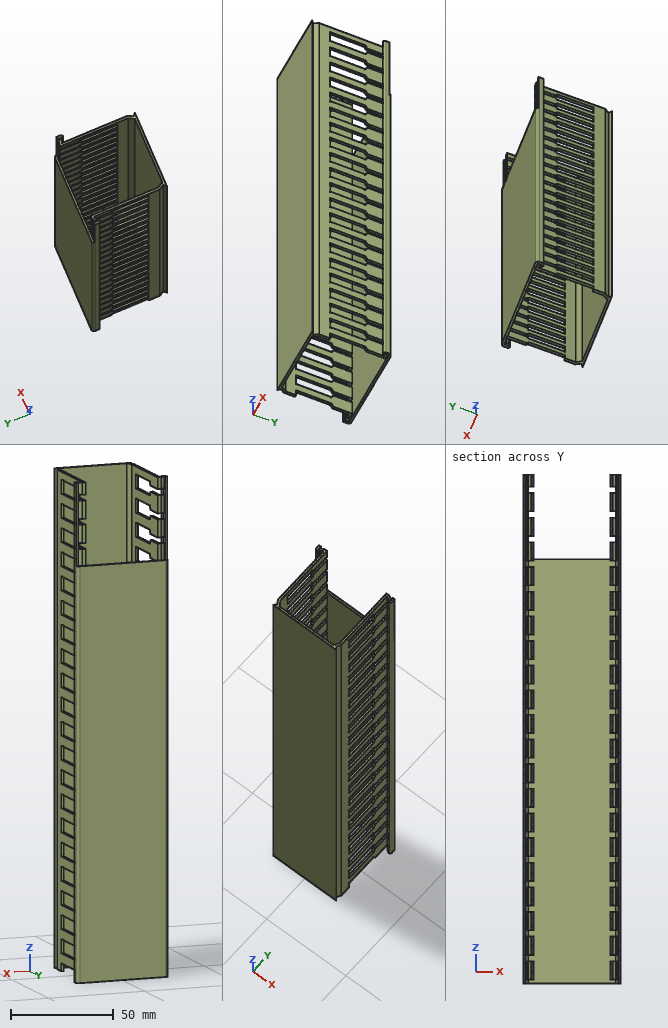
import cadquery as cq
import math

length = 248.0
duct_width = 40.0
duct_height = 40.0
wall = 1.2

cover_width = 47.5
cover_top = duct_height + wall
cover_end = 206.8

pinch_depth = 1.36
wall_lean = math.radians(30)

flange_drop = math.radians(30)
flange_start = 20.5
flange_tip = 21.8
flange_fillet = 0.2

cover_corner_radius = 1.5
lip_radius = 1.0
lip_flat = 1.85
lip_tip = 21.3

slot_count = 21
first_slot_z = 0.5
last_slot_z = 240.5
slot_width = 7.0
slot_floor = 9.7
neck_width = 3.0
neck_start = 29.8
shoulder_angle = math.radians(30)

half_duct = duct_width / 2
half_cover = cover_width / 2


def flange_underside(x):
    """Y of the lower face of the sloping flange."""
    return duct_height - wall / math.cos(flange_drop) - (x - flange_start) * math.tan(flange_drop)


def both_halves(half):
    """Complete a body from its +X half."""
    return half.union(half.mirror("YZ")).clean()


def duct_body():
    lean_top = pinch_depth + pinch_depth / math.tan(wall_lean)
    inner_x = half_duct - wall
    inner_lean_top = lean_top + wall * math.tan(wall_lean / 2)
    inner_floor_x = inner_x - (inner_lean_top - wall) * math.tan(wall_lean)
    tip_run = wall * math.sin(flange_drop)
    tip_top_x = flange_tip + tip_run
    tip_top_y = duct_height - (tip_top_x - flange_start) * math.tan(flange_drop)

    half = (
        cq.Workplane("XY")
        .moveTo(0, 0)
        .lineTo(half_duct, 0)
        .lineTo(half_duct - pinch_depth, pinch_depth)
        .lineTo(half_duct, lean_top)
        .lineTo(half_duct, flange_underside(half_duct))
        .lineTo(flange_tip, flange_underside(flange_tip))
        .lineTo(tip_top_x, tip_top_y)
        .lineTo(flange_start, duct_height)
        .lineTo(inner_x, duct_height)
        .lineTo(inner_x, inner_lean_top)
        .lineTo(inner_floor_x, wall)
        .lineTo(0, wall)
        .close()
        .extrude(length)
    )
    root_edge = cq.selectors.NearestToPointSelector((half_duct, flange_underside(half_duct), length / 2))
    return both_halves(half.edges(root_edge).fillet(flange_fillet))


def slot_cutter():
    """One slot through both side walls, centred on Z = 0 and open past the flange."""
    shoulder_end = neck_start - (slot_width - neck_width) / 2 * math.tan(shoulder_angle)
    open_end = duct_height + wall
    outline = [
        (slot_floor, slot_width / 2),
        (shoulder_end, slot_width / 2),
        (neck_start, neck_width / 2),
        (open_end, neck_width / 2),
    ]
    mirrored = [(y, -z) for y, z in reversed(outline)]
    return cq.Workplane("YZ").polyline(outline + mirrored).close().extrude(half_cover, both=True)


def slotted_duct():
    duct = duct_body()
    cutter = slot_cutter()
    slot_pitch = (last_slot_z - first_slot_z) / (slot_count - 1)
    for i in range(slot_count):
        duct = duct.cut(cutter.translate((0, 0, first_slot_z + i * slot_pitch)))
    return duct


def snap_cover():
    corner_y = cover_top - cover_corner_radius
    corner_x = half_cover - cover_corner_radius
    diagonal = cover_corner_radius * math.sqrt(0.5)
    inner_x = half_cover - wall
    lip_side_bottom = corner_y - lip_flat

    lip_x = half_cover - lip_radius
    turn_end = math.pi / 2 + flange_drop
    turn_mid = turn_end / 2
    turn_mid_x = lip_x + lip_radius * math.cos(turn_mid)
    turn_mid_y = lip_side_bottom - lip_radius * math.sin(turn_mid)
    hook_x = lip_x + lip_radius * math.cos(turn_end)
    hook_y = lip_side_bottom - lip_radius * math.sin(turn_end)
    hook_end_y = hook_y + (hook_x - lip_tip) * math.tan(flange_drop)

    half = (
        cq.Workplane("XY")
        .moveTo(0, cover_top)
        .lineTo(corner_x, cover_top)
        .threePointArc((corner_x + diagonal, corner_y + diagonal), (half_cover, corner_y))
        .lineTo(half_cover, lip_side_bottom)
        .threePointArc((turn_mid_x, turn_mid_y), (hook_x, hook_y))
        .lineTo(lip_tip, hook_end_y)
        .lineTo(lip_tip, flange_underside(lip_tip))
        .lineTo(inner_x, flange_underside(inner_x))
        .lineTo(inner_x, duct_height)
        .lineTo(0, duct_height)
        .close()
        .extrude(length)
    )
    plate_gap = (
        cq.Workplane("XY", origin=(-half_cover, duct_height, cover_end))
        .rect(cover_width, wall, centered=False)
        .extrude(length - cover_end)
    )
    return both_halves(half).cut(plate_gap)


result = cq.Compound.makeCompound([slotted_duct().val(), snap_cover().val()])